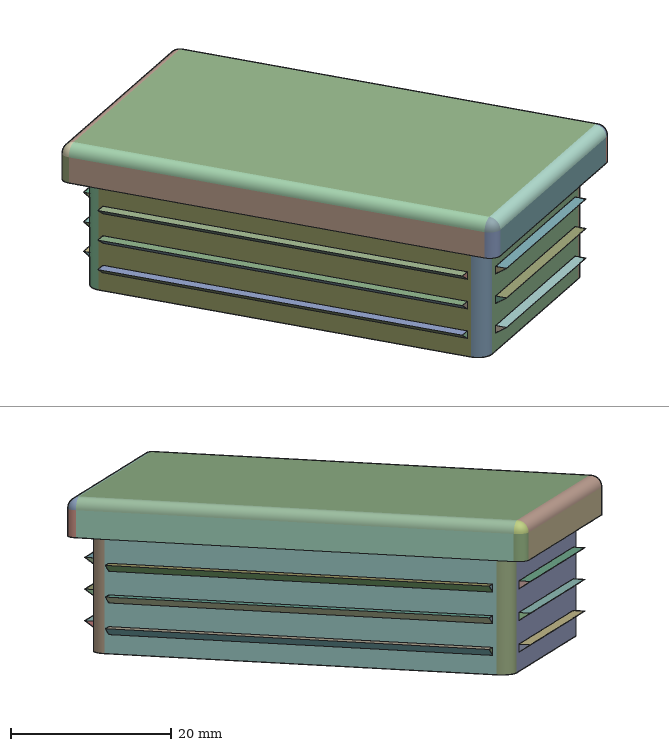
import cadquery as cq

cap_length = 60.0
cap_width = 35.0
cap_thickness = 5.0
cap_radius = 1.5

plug_length = 55.0
plug_width = 30.0
plug_height = 15.0
plug_corner_radius = 2.0

fin_reach = 1.5
fin_height = 1.0
fin_length_on_long_side = 50.0
fin_length_on_short_side = 24.0
fin_count = 3
fin_pitch = 4.0
lowest_fin_top = 3.5


def make_cap():
    return (
        cq.Workplane("XY")
        .workplane(offset=plug_height)
        .rect(cap_length, cap_width)
        .extrude(cap_thickness)
        .edges("|Z or >Z")
        .fillet(cap_radius)
    )


def make_plug():
    return (
        cq.Workplane("XY")
        .rect(plug_length, plug_width)
        .extrude(plug_height)
        .edges("|Z")
        .fillet(plug_corner_radius)
    )


def make_fin_pair(span, length, top):
    """Fins on the two opposite X walls of a body that is span wide."""
    wall = span / 2
    tip = wall + fin_reach
    root = top - fin_height
    return (
        cq.Workplane("XZ")
        .polyline([(-tip, top), (tip, top), (wall, root), (-wall, root)])
        .close()
        .extrude(length / 2, both=True)
    )


result = make_cap().union(make_plug())
for level in range(fin_count):
    fin_top = lowest_fin_top + level * fin_pitch
    short_side_fins = make_fin_pair(plug_length, fin_length_on_short_side, fin_top)
    long_side_fins = make_fin_pair(plug_width, fin_length_on_long_side, fin_top)
    long_side_fins = long_side_fins.rotate((0, 0, 0), (0, 0, 1), 90)
    result = result.union(short_side_fins).union(long_side_fins)